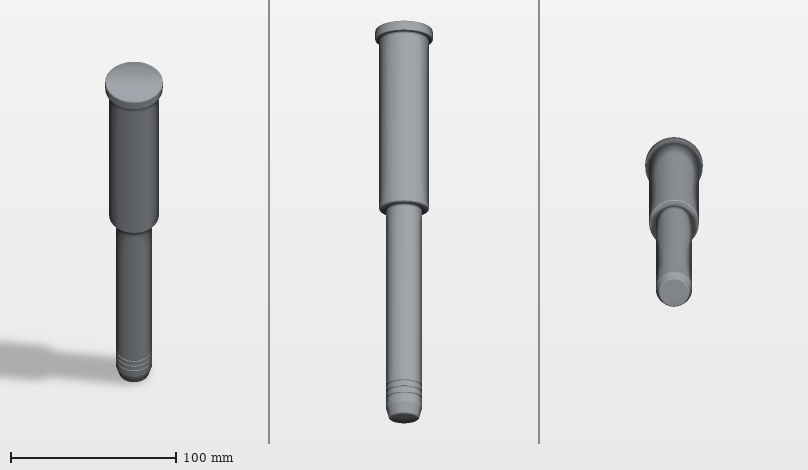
import cadquery as cq

length = 251.0
head_diameter = 35.0
body_diameter = 30.0
pin_diameter = 22.0

head_height = 6.0
body_length = 110.0
head_underside = length - head_height
shoulder_height = head_underside - body_length

edge_chamfer = 0.5

groove_width = 1.0
groove_depth = 0.5
groove_floor_radius = 0.3
tip_groove_count = 3
tip_groove_pitch = 4.0
lowest_tip_groove_height = 12.0

lead_height = 7.0
tip_diameter = 18.0


def cylinder(diameter, bottom, top):
    """Solid cylinder on the Z axis between two heights."""
    return cq.Workplane("XY").workplane(offset=bottom).circle(diameter / 2).extrude(top - bottom)


def cut_groove(shaft, diameter, bottom):
    """Cut a ring groove with rounded floor corners into a shaft of the given diameter."""
    top = bottom + groove_width
    core = cylinder(diameter - 2 * groove_depth, bottom, top)
    ring = cylinder(diameter, bottom, top).cut(core)
    floor_edges = ring.edges(cq.selectors.RadiusNthSelector(0))
    return shaft.cut(floor_edges.fillet(groove_floor_radius))


def tapered_tip():
    """Cone from the tip up to the pin, with its end edge chamfered."""
    cone = (
        cq.Workplane("XY")
        .circle(tip_diameter / 2)
        .workplane(offset=lead_height)
        .circle(pin_diameter / 2)
        .loft()
    )
    return cone.faces("<Z").edges().chamfer(edge_chamfer)


head = cylinder(head_diameter, head_underside, length).faces(">Z").edges().chamfer(edge_chamfer)
body = cylinder(body_diameter, shoulder_height, head_underside).faces("<Z").edges().chamfer(edge_chamfer)
pin = cylinder(pin_diameter, lead_height, shoulder_height)

body = cut_groove(body, body_diameter, head_underside - groove_width)
pin = cut_groove(pin, pin_diameter, shoulder_height - groove_width)
for index in range(tip_groove_count):
    pin = cut_groove(pin, pin_diameter, lowest_tip_groove_height + index * tip_groove_pitch)

result = head.union(body).union(pin).union(tapered_tip())